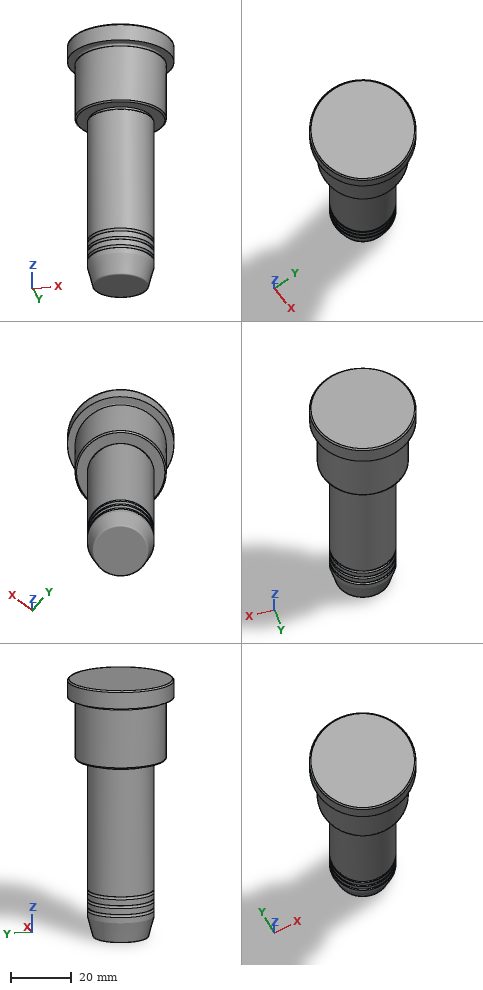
import cadquery as cq
import math

total_length = 87.0

head_diameter = 35.0
head_height = 6.0
head_chamfer = 0.5

collar_diameter = 30.0
collar_length = 21.0
collar_chamfer = 0.5

shank_diameter = 22.0
neck_height = 1.0
neck_depth = 0.5

groove_radius = 0.5
tip_groove_count = 3
tip_groove_pitch = 3.0
tip_groove_offset = 2.5

tip_length = 7.0
tip_half_angle = 15.0
tip_fillet = 0.5

head_bottom = total_length - head_height
collar_bottom = head_bottom - collar_length
neck_bottom = collar_bottom - neck_height


def cylinder(diameter, bottom, top):
    """Solid cylinder on the Z axis between two heights."""
    return cq.Workplane("XY").workplane(offset=bottom).circle(diameter / 2).extrude(top - bottom)


def make_head():
    """Flange with a chamfered top edge."""
    return cylinder(head_diameter, head_bottom, total_length).faces(">Z").chamfer(head_chamfer)


def make_collar():
    """Collar with a chamfered lower edge."""
    return cylinder(collar_diameter, collar_bottom, head_bottom).faces("<Z").chamfer(collar_chamfer)


def make_shank():
    """Straight shank topped by the smaller neck that joins the collar."""
    shank = cylinder(shank_diameter, tip_length, neck_bottom)
    neck = cylinder(shank_diameter - 2 * neck_depth, neck_bottom, collar_bottom)
    return shank.union(neck)


def make_tip():
    """Cone that narrows downwards to a rounded end edge."""
    shank_radius = shank_diameter / 2
    end_radius = shank_radius - tip_length * math.tan(math.radians(tip_half_angle))
    profile = cq.Workplane("XZ").polyline([
        (0, 0),
        (end_radius, 0),
        (shank_radius, tip_length),
        (0, tip_length),
    ])
    tip = profile.close().revolve(360, (0, 0, 0), (0, 1, 0))
    return tip.faces("<Z").edges().fillet(tip_fillet)


def groove_cutter(diameter, center_height):
    """Half-round ring to cut from a cylinder of the given diameter."""
    surface = diameter / 2
    profile = cq.Workplane("XZ").center(surface, center_height).circle(groove_radius)
    return profile.revolve(360, (-surface, 0, 0), (-surface, 1, 0))


result = make_head().union(make_collar()).union(make_shank()).union(make_tip())

head_groove = groove_cutter(collar_diameter, head_bottom - groove_radius)
result = result.cut(head_groove)

for index in range(tip_groove_count):
    groove_center = tip_length + tip_groove_offset + index * tip_groove_pitch
    result = result.cut(groove_cutter(shank_diameter, groove_center))